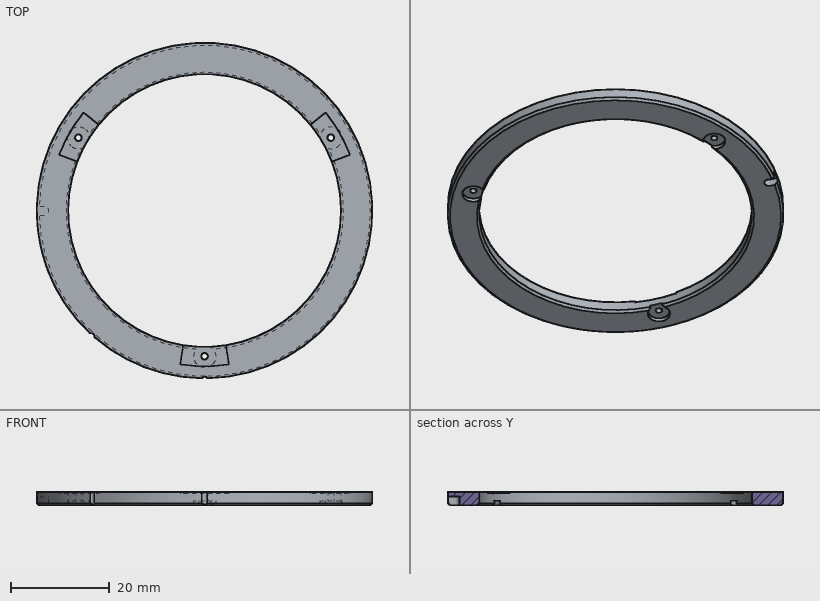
import cadquery as cq
import math

outer_diameter = 68.0
inner_diameter = 55.2
thickness = 2.7
bottom_chamfer = 0.5

seat_angles = (30, 150, 270)
seat_outer_radius = 31.55
seat_span_angle = 18.0
seat_depth = 0.3
hole_diameter = 1.3
hole_circle_radius = 29.5

counterbore_diameter = 4.5
counterbore_depth = 0.9

rim_notch_angles = (228, 270)
rim_notch_diameter = 1.2
rim_notch_circle_radius = 34.3

key_notch_width = 1.85
key_notch_depth = 2.4
key_notch_height = 1.8

outer_radius = outer_diameter / 2
inner_radius = inner_diameter / 2


def polar_point(radius, angle):
    return (radius * math.cos(math.radians(angle)), radius * math.sin(math.radians(angle)))


def make_ring():
    ring = cq.Workplane("XY").circle(outer_radius).circle(inner_radius).extrude(thickness)
    return ring.faces("<Z").edges().chamfer(bottom_chamfer)


def make_seat(angle):
    """Sector-shaped cutter with radial ends, running from the ring axis to the seat's outer arc."""
    start = angle - seat_span_angle / 2
    end = angle + seat_span_angle / 2
    return (
        cq.Workplane("XY", origin=(0, 0, thickness - seat_depth))
        .lineTo(*polar_point(seat_outer_radius, start))
        .threePointArc(polar_point(seat_outer_radius, angle), polar_point(seat_outer_radius, end))
        .close()
        .extrude(seat_depth)
    )


def make_cylinder(diameter, height, radius, angle):
    """Vertical cylindrical cutter rising from the underside at a polar position."""
    return cq.Workplane("XY").center(*polar_point(radius, angle)).circle(diameter / 2).extrude(height)


def make_key_notch():
    """Radial slot with half-round ends, centred on the rim so that half of it cuts the ring."""
    return (
        cq.Workplane("XY")
        .center(-outer_radius, 0)
        .slot2D(2 * key_notch_depth, key_notch_width)
        .extrude(key_notch_height)
    )


result = make_ring()
for seat_angle in seat_angles:
    result = result.cut(make_seat(seat_angle))
    result = result.cut(make_cylinder(hole_diameter, thickness, hole_circle_radius, seat_angle))
    result = result.cut(
        make_cylinder(counterbore_diameter, counterbore_depth, hole_circle_radius, seat_angle)
    )
for notch_angle in rim_notch_angles:
    result = result.cut(make_cylinder(rim_notch_diameter, thickness, rim_notch_circle_radius, notch_angle))
result = result.cut(make_key_notch())